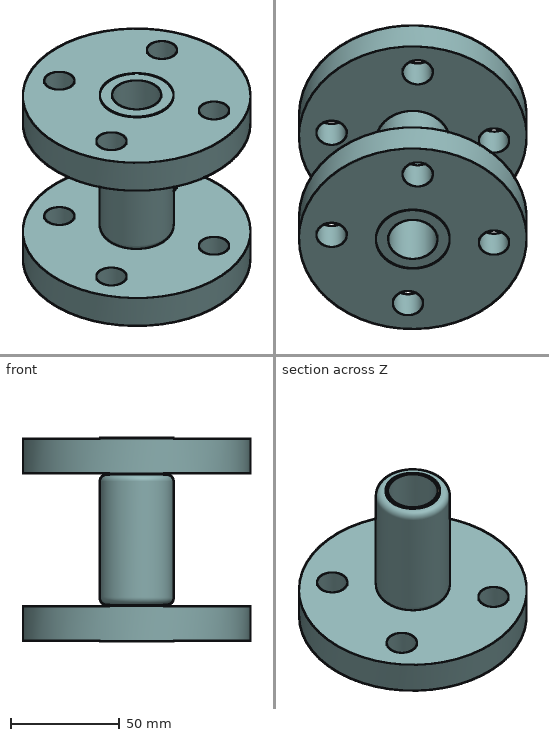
import cadquery as cq

total_length = 94.0
flange_diameter = 105.0

raised_face_height = 0.4
raised_face_diameter = 34.0
flange_thickness = 16.0
bolt_hole_diameter = 14.0
bolt_circle_diameter = 75.0
bolt_count = 4
first_bolt_angle = 45.0

body_diameter = 34.2
body_edge_radius = 3.2
neck_diameter = 25.2
neck_length = 0.6
bore_diameter = 22.7

flange_inner_face = total_length / 2 - raised_face_height - flange_thickness
body_length = 2 * (flange_inner_face - neck_length)


def disc(diameter, bottom, height):
    """Cylinder on the Z axis, starting at the given height."""
    return cq.Workplane("XY").workplane(offset=bottom).circle(diameter / 2).extrude(height)


def make_flange():
    """Upper flange with its raised sealing face and bolt holes."""
    plate = disc(flange_diameter, flange_inner_face, flange_thickness)
    raised_face = disc(raised_face_diameter, flange_inner_face + flange_thickness, raised_face_height)
    bolt_holes = (
        cq.Workplane("XY")
        .workplane(offset=flange_inner_face)
        .polarArray(bolt_circle_diameter / 2, first_bolt_angle, 360, bolt_count)
        .circle(bolt_hole_diameter / 2)
        .extrude(flange_thickness)
    )
    return plate.union(raised_face).cut(bolt_holes)


def make_body():
    """Rounded body with a thinner neck reaching both flanges."""
    body = disc(body_diameter, -body_length / 2, body_length).edges().fillet(body_edge_radius)
    neck = disc(neck_diameter, -flange_inner_face, 2 * flange_inner_face)
    return body.union(neck)


upper_flange = make_flange()
lower_flange = upper_flange.mirror("XY")
bore = disc(bore_diameter, -total_length / 2, total_length)

result = make_body().union(upper_flange).union(lower_flange).cut(bore)